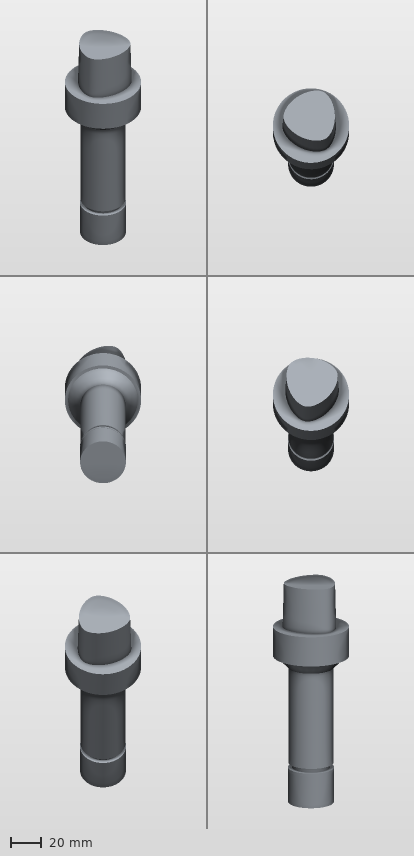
import cadquery as cq
import math

TOTAL_HEIGHT = 150.0
SHANK_HEIGHT = 30.0
FLANGE_HEIGHT = 20.0
FLANGE_TOP = TOTAL_HEIGHT - SHANK_HEIGHT
FLANGE_BOTTOM = FLANGE_TOP - FLANGE_HEIGHT

FLANGE_DIAMETER = 50.0
CONE_TOP_DIAMETER = 45.6
BODY_DIAMETER = 29.5
CONE_HEIGHT = (CONE_TOP_DIAMETER - BODY_DIAMETER) / 2
CONE_BOTTOM = FLANGE_BOTTOM - CONE_HEIGHT

HEAD_DIAMETER = 30.0
COLLAR_DIAMETER = 30.3
HEAD_HEIGHT = 23.7
COLLAR_HEIGHT = 2.0
NECK_DIAMETER = 25.0
NECK_HEIGHT = 3.2

SHANK_BASE_WIDTH = 35.1
SHANK_TAPER = 1 / 20
LOBE_HEIGHT = 1.2
LOBE_COUNT = 3
OUTLINE_POINTS = 48


def cylinder(diameter, bottom, top):
    """Solid cylinder on the Z axis between two heights."""
    return cq.Workplane("XY").workplane(offset=bottom).circle(diameter / 2).extrude(top - bottom)


def lobed_point(width, angle):
    """Point of a constant-width curve whose tangent is square to the given angle."""
    reach = width / 2 + LOBE_HEIGHT * math.sin(LOBE_COUNT * angle)
    slope = LOBE_COUNT * LOBE_HEIGHT * math.cos(LOBE_COUNT * angle)
    x = reach * math.cos(angle) - slope * math.sin(angle)
    y = reach * math.sin(angle) + slope * math.cos(angle)
    return (x, y)


def lobed_outline(width):
    """Points around one closed lobed section."""
    step = 2 * math.pi / OUTLINE_POINTS
    return [lobed_point(width, i * step) for i in range(OUTLINE_POINTS)]


def make_shank():
    """Lobed shank narrowing from the flange to the top face."""
    top_width = SHANK_BASE_WIDTH - SHANK_TAPER * SHANK_HEIGHT
    return (
        cq.Workplane("XY")
        .workplane(offset=FLANGE_TOP)
        .spline(lobed_outline(SHANK_BASE_WIDTH), periodic=True)
        .close()
        .workplane(offset=SHANK_HEIGHT)
        .spline(lobed_outline(top_width), periodic=True)
        .close()
        .loft(ruled=True)
    )


def make_cone():
    """Cone leading from the body up to the flange."""
    return (
        cq.Workplane("XY")
        .workplane(offset=CONE_BOTTOM)
        .circle(BODY_DIAMETER / 2)
        .workplane(offset=CONE_HEIGHT)
        .circle(CONE_TOP_DIAMETER / 2)
        .loft(ruled=True)
    )


def make_head():
    """Head, its collar and the neck above."""
    collar_bottom = HEAD_HEIGHT - COLLAR_HEIGHT
    neck_top = HEAD_HEIGHT + NECK_HEIGHT
    return (
        cylinder(HEAD_DIAMETER, 0, collar_bottom)
        .union(cylinder(COLLAR_DIAMETER, collar_bottom, HEAD_HEIGHT))
        .union(cylinder(NECK_DIAMETER, HEAD_HEIGHT, neck_top))
    )


body = cylinder(BODY_DIAMETER, HEAD_HEIGHT + NECK_HEIGHT, CONE_BOTTOM)
flange = cylinder(FLANGE_DIAMETER, FLANGE_BOTTOM, FLANGE_TOP)

result = make_head().union(body).union(make_cone()).union(flange).union(make_shank())